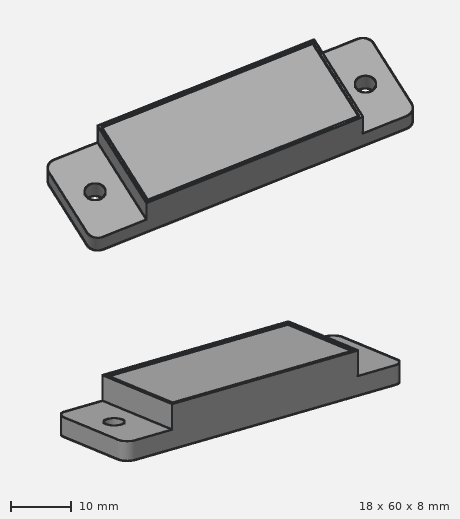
import cadquery as cq

length = 60.0
width = 18.0
height = 8.0

base_thickness = 3.5
corner_radius = 2.0
hole_diameter = 3.5
hole_spacing = 50.0

housing_length = 40.0
rim_width = 0.5
recess_depth = 0.3


def make_base():
    """Rounded plate with one through hole in each ear."""
    plate = (
        cq.Workplane("XY")
        .rect(width, length)
        .extrude(base_thickness)
        .edges("|Z")
        .fillet(corner_radius)
    )
    return (
        plate.faces(">Z")
        .workplane()
        .rarray(0.6, hole_spacing, 1, 2)
        .hole(hole_diameter)
    )


def make_housing():
    """Full-width block rising from the underside of the base."""
    return cq.Workplane("XY").rect(width, housing_length).extrude(height)


def make_recess():
    """Shallow pocket that leaves a thin rim around the housing top."""
    return (
        cq.Workplane("XY")
        .workplane(offset=height - recess_depth)
        .rect(width - 2 * rim_width, housing_length - 2 * rim_width)
        .extrude(recess_depth)
    )


result = make_base().union(make_housing()).cut(make_recess())